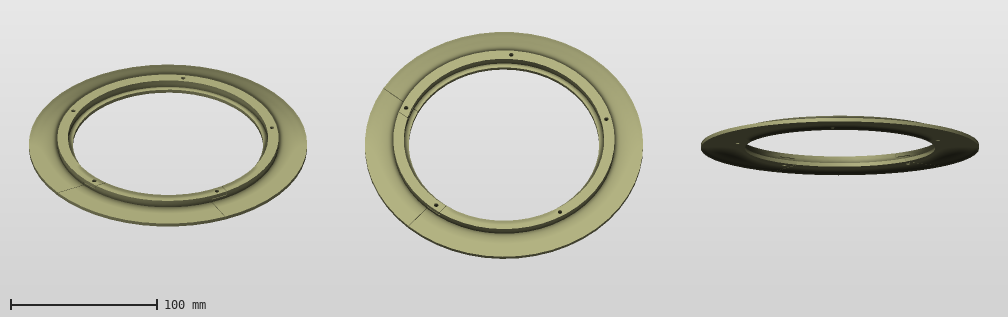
import cadquery as cq
import math

outer_diameter = 190.0
bore_diameter = 130.0
total_height = 7.8
flange_thickness = 2.5

rim_outer_diameter = 151.0
rim_inner_diameter = 136.8

hole_count = 5
hole_diameter = 3.0
hole_circle_radius = 72.0

joint_gap = 0.4
lap_length = 11.4
lap_height = 5.0
bridge_diameter = 5.0
cut_margin = 1.9


def annulus(outer, inner, height):
    return cq.Workplane("XY").circle(outer / 2).circle(inner / 2).extrude(height)


def hole_position(index):
    angle = math.radians(index * 360 / hole_count)
    return hole_circle_radius * math.cos(angle), hole_circle_radius * math.sin(angle)


def slab(length, height, bottom, lengthwise_center):
    """A box lying along X that reaches through the whole ring section in Y."""
    reach = outer_diameter / 2
    return (
        cq.Workplane("XY", origin=(lengthwise_center, 0, bottom))
        .box(length, reach, height, centered=(True, True, False))
    )


def joint_cutter():
    """Stepped gap: flange to lap height at -X, along the lap, then up to the rim top at +X."""
    slit_bottom = lap_height - joint_gap / 2
    slit_top = lap_height + joint_gap / 2
    lower_gap = slab(joint_gap, slit_top + cut_margin, -cut_margin, -lap_length / 2)
    upper_gap = slab(joint_gap, total_height + cut_margin - slit_bottom, slit_bottom, lap_length / 2)
    bridge = (
        cq.Workplane("XY", origin=(0, 0, slit_bottom))
        .circle(bridge_diameter / 2)
        .extrude(joint_gap)
    )
    slit = slab(lap_length, joint_gap, slit_bottom, 0).cut(bridge)
    return slit.union(lower_gap).union(upper_gap)


flange = annulus(outer_diameter, bore_diameter, flange_thickness)
rim = annulus(rim_outer_diameter, rim_inner_diameter, total_height)
result = flange.union(rim)

side_x, side_y = hole_position(0)
front_x, front_y = hole_position(hole_count - 1)
side_joint = joint_cutter().rotate((0, 0, 0), (0, 0, 1), 90).translate((side_x, side_y, 0))
front_joint = joint_cutter().translate((front_x, front_y, 0))
result = result.cut(side_joint).cut(front_joint)

screw_holes = (
    cq.Workplane("XY")
    .pushPoints([hole_position(index) for index in range(hole_count)])
    .circle(hole_diameter / 2)
    .extrude(total_height)
)
result = result.cut(screw_holes)